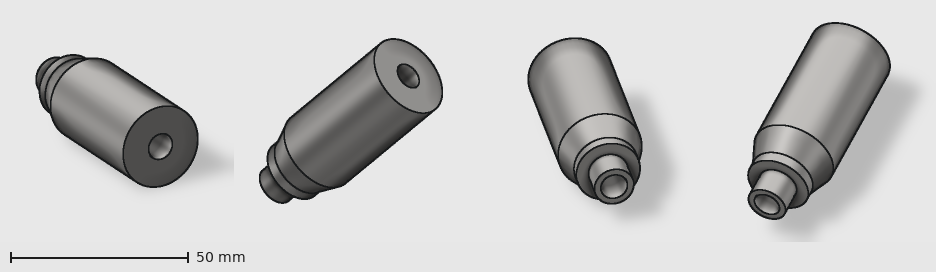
import cadquery as cq

total_length = 61.85
spigot_length = 8.3
collar_length = 3.35
taper_length = 8.2
spigot_diameter = 11.3
collar_diameter = 18.4
body_diameter = 24.1
bore_diameter = 7.7

collar_end = spigot_length + collar_length
taper_end = collar_end + taper_length

outer_profile = [
    (0, 0),
    (0, spigot_diameter / 2),
    (spigot_length, spigot_diameter / 2),
    (spigot_length, collar_diameter / 2),
    (collar_end, collar_diameter / 2),
    (taper_end, body_diameter / 2),
    (total_length, body_diameter / 2),
    (total_length, 0),
]
sleeve = cq.Workplane("XY").polyline(outer_profile).close().revolve(360, (0, 0, 0), (1, 0, 0))

bore = cq.Workplane("YZ").circle(bore_diameter / 2).extrude(total_length)

result = sleeve.cut(bore)